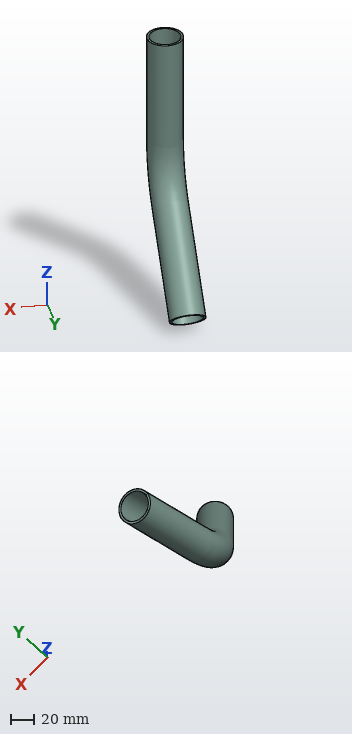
import cadquery as cq
import math

overall_height = 238.5
outer_diameter = 31.7
inner_diameter = 27.5
bend_radius = 76.0
bend_angle = math.radians(45)

outer_radius = outer_diameter / 2
sin_bend = math.sin(bend_angle)
cos_bend = math.cos(bend_angle)

bend_height = bend_radius * sin_bend
rim_height = outer_radius * sin_bend
leg_length = (overall_height - bend_height - rim_height) / (1 + cos_bend)


def bend_point(angle):
    """Centreline point (Y, Z) after turning by the angle; the bend starts at the origin."""
    return (bend_radius * (1 - math.cos(angle)), -bend_radius * math.sin(angle))


bend_end = bend_point(bend_angle)
lower_end = (bend_end[0] + leg_length * sin_bend, bend_end[1] - leg_length * cos_bend)
centreline = (
    cq.Workplane("YZ")
    .moveTo(0, leg_length)
    .lineTo(0, 0)
    .threePointArc(bend_point(bend_angle / 2), bend_end)
    .lineTo(*lower_end)
)

result = (
    cq.Workplane("XY", origin=(0, 0, leg_length))
    .circle(outer_radius)
    .circle(inner_diameter / 2)
    .sweep(centreline)
)